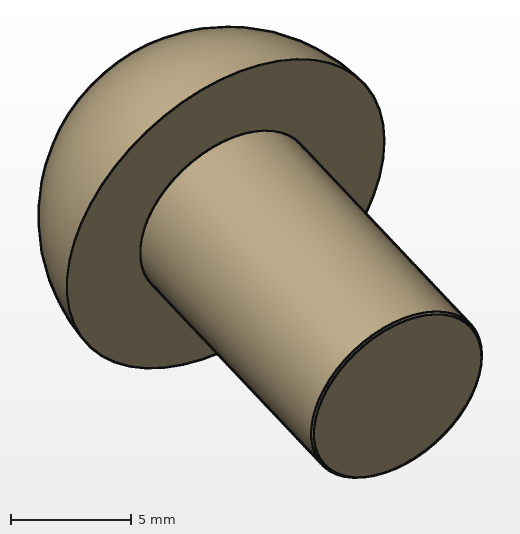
import cadquery as cq
import math

head_diameter = 15.8
head_height = 7.7
shank_diameter = 8.5
shank_length = 13.0
tip_chamfer = 0.085

head_radius = head_diameter / 2
shank_radius = shank_diameter / 2

dome_radius = (head_radius**2 + head_height**2) / (2 * head_height)
dome_center_x = dome_radius - head_height


def make_head():
    """Domed head: a spherical cap with a flat underside."""
    mid_angle = math.atan2(head_radius, dome_center_x) / 2
    dome_mid = (
        dome_center_x - dome_radius * math.cos(mid_angle),
        dome_radius * math.sin(mid_angle),
    )
    half_profile = (
        cq.Workplane("XY")
        .moveTo(-head_height, 0)
        .threePointArc(dome_mid, (0, head_radius))
        .lineTo(0, 0)
        .close()
    )
    return half_profile.revolve(360, (0, 0, 0), (1, 0, 0))


def make_shank():
    """Cylindrical shank with a slightly chamfered tip."""
    shank = cq.Workplane("YZ").circle(shank_radius).extrude(shank_length)
    return shank.faces(">X").chamfer(tip_chamfer)


result = make_head().union(make_shank())